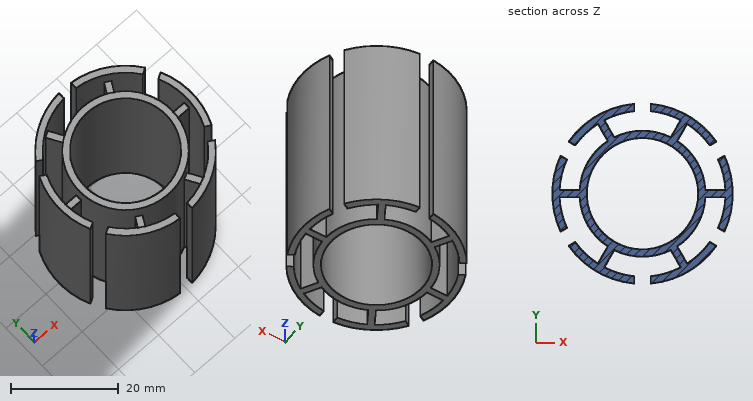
import cadquery as cq

LENGTH = 41.3
WALL = 1.4
SLEEVE_BORE_DIAMETER = 20.6
SHELL_OUTER_DIAMETER = 33.5
SEGMENT_COUNT = 6
SLOT_WIDTH = 3.0
RIB_RECESS = 4.0

SLEEVE_OUTER_RADIUS = SLEEVE_BORE_DIAMETER / 2 + WALL
SHELL_OUTER_RADIUS = SHELL_OUTER_DIAMETER / 2
SHELL_INNER_RADIUS = SHELL_OUTER_RADIUS - WALL
SEGMENT_PITCH = 360 / SEGMENT_COUNT


def tube(outer_radius, inner_radius):
    """Tube standing on the XY plane over the full length."""
    return cq.Workplane("XY").circle(outer_radius).circle(inner_radius).extrude(LENGTH)


def radial_bar(start_radius, end_radius, width, height, angle):
    """Bar standing on the XY plane, running outward at the given angle."""
    bar = cq.Workplane("XY").box(
        end_radius - start_radius, width, height, centered=(False, True, False)
    )
    return bar.translate((start_radius, 0, 0)).rotate((0, 0, 0), (0, 0, 1), angle)


def slotted_shell():
    """Outer shell split into equal segments by parallel-sided slots."""
    shell = tube(SHELL_OUTER_RADIUS, SHELL_INNER_RADIUS)
    slot_end_radius = SHELL_OUTER_RADIUS + WALL
    for i in range(SEGMENT_COUNT):
        angle = (i + 0.5) * SEGMENT_PITCH
        slot = radial_bar(SLEEVE_OUTER_RADIUS, slot_end_radius, SLOT_WIDTH, LENGTH, angle)
        shell = shell.cut(slot)
    return shell


def add_ribs(body):
    """Join the sleeve to the middle of each shell segment, ending inside both walls."""
    start_radius = SLEEVE_OUTER_RADIUS - WALL / 2
    end_radius = SHELL_INNER_RADIUS + WALL / 2
    for i in range(SEGMENT_COUNT):
        angle = i * SEGMENT_PITCH
        rib = radial_bar(start_radius, end_radius, WALL, LENGTH - RIB_RECESS, angle)
        body = body.union(rib)
    return body


sleeve = tube(SLEEVE_OUTER_RADIUS, SLEEVE_BORE_DIAMETER / 2)
result = add_ribs(sleeve.union(slotted_shell()))